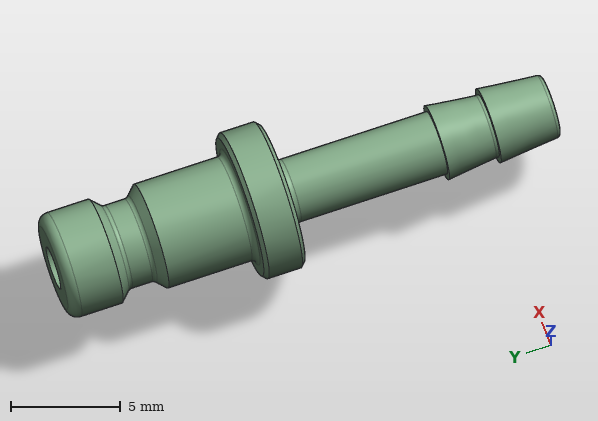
import cadquery as cq
import math

total_length = 24
bore_radius = 1.0
stem_radius = 3.0 / 2
barb_radius = 1.78
plug_radius = 2.5
groove_radius = 2.0
flange_radius = 3.5

front_barb_shoulder = 3.0
rear_barb_shoulder = 5.5
flange_front = 13.0
flange_thickness = 2.0
flange_back = flange_front + flange_thickness
groove_front = 19.3
groove_back = 21.5

barb_root_length = 0.15
tip_round = 0.2
flange_chamfer = 0.2
stem_fillet = 0.45
plug_base_fillet = 0.3
groove_fillet = 0.3
plug_end_round = 0.5


def arc_middle(centre, radius, angle_degrees):
    """Point on an arc, given by its centre, radius and direction."""
    angle = math.radians(angle_degrees)
    return (centre[0] + radius * math.cos(angle), centre[1] + radius * math.sin(angle))


groove_depth = plug_radius - groove_radius
floor_front = groove_front + groove_depth
floor_back = groove_back - groove_depth
floor_tangent = groove_fillet * math.tan(math.radians(22.5))
flank_tangent = floor_tangent * math.sqrt(0.5)
fillet_axis_radius = groove_radius + groove_fillet
floor_start = floor_front + floor_tangent
floor_end = floor_back - floor_tangent

barb_taper = math.atan2(barb_radius - stem_radius, front_barb_shoulder)
tip_centre = (stem_radius - tip_round, tip_round)
tip_end = arc_middle(tip_centre, tip_round, -math.degrees(barb_taper))
tip_middle = arc_middle(tip_centre, tip_round, -45 - math.degrees(barb_taper) / 2)

stem_fillet_centre = (stem_radius + stem_fillet, flange_front - stem_fillet)
base_fillet_centre = (plug_radius + plug_base_fillet, flange_back + plug_base_fillet)
end_round_centre = (plug_radius - plug_end_round, total_length - plug_end_round)

profile = (
    cq.Workplane("XY")
    .moveTo(bore_radius, 0)
    .lineTo(tip_centre[0], 0)
    .threePointArc(tip_middle, tip_end)
    .lineTo(barb_radius, front_barb_shoulder)
    .lineTo(stem_radius, front_barb_shoulder)
    .lineTo(stem_radius, front_barb_shoulder + barb_root_length)
    .lineTo(barb_radius, rear_barb_shoulder)
    .lineTo(stem_radius, rear_barb_shoulder)
    .lineTo(stem_radius, stem_fillet_centre[1])
    .threePointArc(arc_middle(stem_fillet_centre, stem_fillet, 135), (stem_fillet_centre[0], flange_front))
    .lineTo(flange_radius - flange_chamfer, flange_front)
    .lineTo(flange_radius, flange_front + flange_chamfer)
    .lineTo(flange_radius, flange_back - flange_chamfer)
    .lineTo(flange_radius - flange_chamfer, flange_back)
    .lineTo(base_fillet_centre[0], flange_back)
    .threePointArc(arc_middle(base_fillet_centre, plug_base_fillet, 225), (plug_radius, base_fillet_centre[1]))
    .lineTo(plug_radius, groove_front)
    .lineTo(groove_radius + flank_tangent, floor_front - flank_tangent)
    .threePointArc(
        arc_middle((fillet_axis_radius, floor_start), groove_fillet, 202.5),
        (groove_radius, floor_start),
    )
    .lineTo(groove_radius, floor_end)
    .threePointArc(
        arc_middle((fillet_axis_radius, floor_end), groove_fillet, 157.5),
        (groove_radius + flank_tangent, floor_back + flank_tangent),
    )
    .lineTo(plug_radius, groove_back)
    .lineTo(plug_radius, end_round_centre[1])
    .threePointArc(arc_middle(end_round_centre, plug_end_round, 45), (end_round_centre[0], total_length))
    .lineTo(bore_radius, total_length)
    .close()
)

result = profile.revolve(360, (0, 0, 0), (0, 1, 0)).translate((0, -total_length / 2, 0))